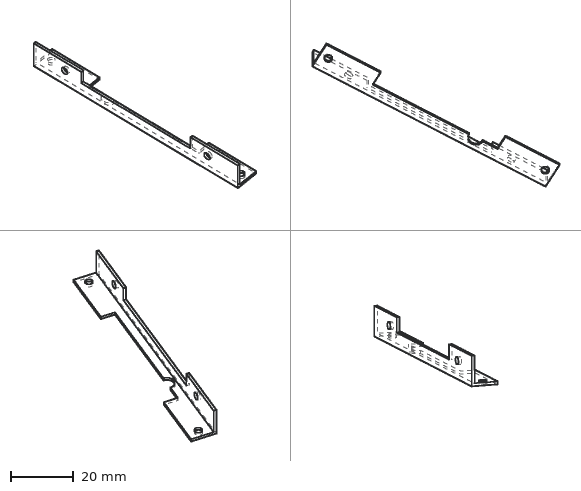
import cadquery as cq

length = 86.0
flange_depth = 9.0
web_height = 10.0
thickness = 1.0

end_length = 20.0
relief_length = length - 2 * end_length
relief_depth = 5.0

hole_diameter = 2.5
web_hole_inset = 13.0
web_hole_height = 6.0
flange_hole_inset = 3.0
flange_hole_y = 5.0

cutout_radius = 2.5
cutout_x = 28.0


def mirrored_stations(inset):
    """X positions at the same inset from both ends."""
    return [inset, length - inset]


def make_angle():
    """L-section: web standing on the XZ plane, flange lying on the XY plane."""
    flange = cq.Workplane("XY").box(length, flange_depth, thickness, centered=False)
    web = cq.Workplane("XY").box(length, thickness, web_height, centered=False)
    return flange.union(web)


def make_relief():
    """Blocks that narrow both legs between the end sections."""
    web_relief = (
        cq.Workplane("XY")
        .box(relief_length, thickness, relief_depth, centered=False)
        .translate((end_length, 0, web_height - relief_depth))
    )
    flange_relief = (
        cq.Workplane("XY")
        .box(relief_length, relief_depth, thickness, centered=False)
        .translate((end_length, flange_depth - relief_depth, 0))
    )
    return web_relief.union(flange_relief)


def make_web_holes():
    points = [(x, web_hole_height) for x in mirrored_stations(web_hole_inset)]
    return cq.Workplane("XZ").pushPoints(points).circle(hole_diameter / 2).extrude(-thickness)


def make_flange_holes():
    points = [(x, flange_hole_y) for x in mirrored_stations(flange_hole_inset)]
    return cq.Workplane("XY").pushPoints(points).circle(hole_diameter / 2).extrude(thickness)


def make_edge_cutout():
    """Cylinder centred on the narrowed flange edge, leaving a half-round notch."""
    narrowed_edge_y = flange_depth - relief_depth
    return (
        cq.Workplane("XY")
        .center(cutout_x, narrowed_edge_y)
        .circle(cutout_radius)
        .extrude(thickness)
    )


result = (
    make_angle()
    .cut(make_relief())
    .cut(make_web_holes())
    .cut(make_flange_holes())
    .cut(make_edge_cutout())
)